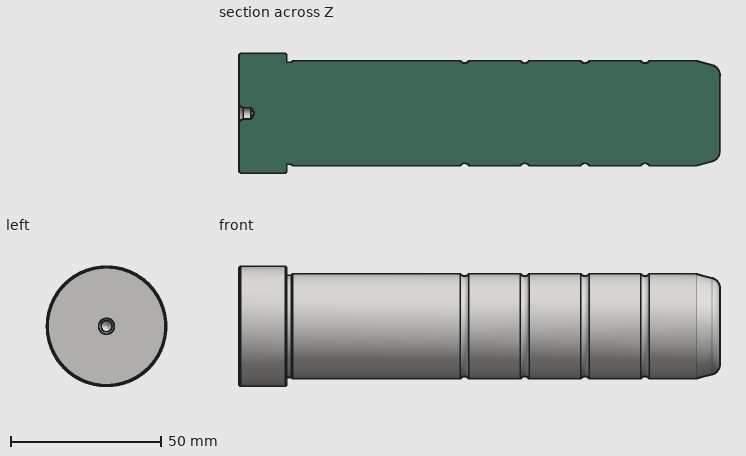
import cadquery as cq
import math

length = 160.0
head_diameter = 40.0
head_length = 16.0
head_chamfer = 0.56
shaft_diameter = 35.0

relief_depth = 0.5
relief_flat = 1.5

groove_count = 4
first_groove_x = 75.0
groove_pitch = 20.0
groove_width = 2.9
groove_depth = 0.8

nose_length = 8.0
nose_angle = math.radians(15)
nose_radius = 3.7

center_diameter = 5.3
pilot_diameter = 3.7
pilot_depth = 4.0
center_half_angle = math.radians(30)
drill_half_angle = math.radians(59)

head_radius = head_diameter / 2
shaft_radius = shaft_diameter / 2


def make_pin():
    """Revolve the head, relief, shaft and nose as one profile."""
    relief_radius = shaft_radius - relief_depth
    relief_end = head_length + relief_flat

    arc_center_x = length - nose_radius
    cone_end_x = arc_center_x + nose_radius * math.sin(nose_angle)
    nose_start_x = length - nose_length
    cone_end_r = shaft_radius - (cone_end_x - nose_start_x) * math.tan(nose_angle)
    arc_center_r = cone_end_r - nose_radius * math.cos(nose_angle)
    mid_angle = (math.pi / 2 - nose_angle) / 2
    arc_middle = (
        arc_center_x + nose_radius * math.cos(mid_angle),
        arc_center_r + nose_radius * math.sin(mid_angle),
    )

    profile = (
        cq.Workplane("XY")
        .lineTo(0, head_radius - head_chamfer)
        .lineTo(head_chamfer, head_radius)
        .lineTo(head_length - head_chamfer, head_radius)
        .lineTo(head_length, head_radius - head_chamfer)
        .lineTo(head_length, relief_radius)
        .lineTo(relief_end, relief_radius)
        .lineTo(relief_end + relief_depth, shaft_radius)
        .lineTo(nose_start_x, shaft_radius)
        .lineTo(cone_end_x, cone_end_r)
        .threePointArc(arc_middle, (length, arc_center_r))
        .lineTo(length, 0)
        .close()
    )
    return profile.revolve(360, (0, 0, 0), (1, 0, 0))


def make_groove(center_x):
    """Round-bottomed groove cutter, extended straight past the shaft surface."""
    start_x = center_x - groove_width / 2
    end_x = center_x + groove_width / 2
    outer_radius = head_radius
    profile = (
        cq.Workplane("XY")
        .moveTo(start_x, outer_radius)
        .lineTo(start_x, shaft_radius)
        .threePointArc((center_x, shaft_radius - groove_depth), (end_x, shaft_radius))
        .lineTo(end_x, outer_radius)
        .close()
    )
    return profile.revolve(360, (0, 0, 0), (1, 0, 0))


def make_center_hole():
    """Countersunk pilot hole with a conical drill point."""
    mouth_radius = center_diameter / 2
    pilot_radius = pilot_diameter / 2
    countersink_depth = (mouth_radius - pilot_radius) / math.tan(center_half_angle)
    tip_depth = pilot_depth + pilot_radius / math.tan(drill_half_angle)
    profile = cq.Workplane("XY").polyline([
        (0, 0),
        (0, mouth_radius),
        (countersink_depth, pilot_radius),
        (pilot_depth, pilot_radius),
        (tip_depth, 0),
    ])
    return profile.close().revolve(360, (0, 0, 0), (1, 0, 0))


result = make_pin().cut(make_center_hole())
for index in range(groove_count):
    result = result.cut(make_groove(first_groove_x + index * groove_pitch))